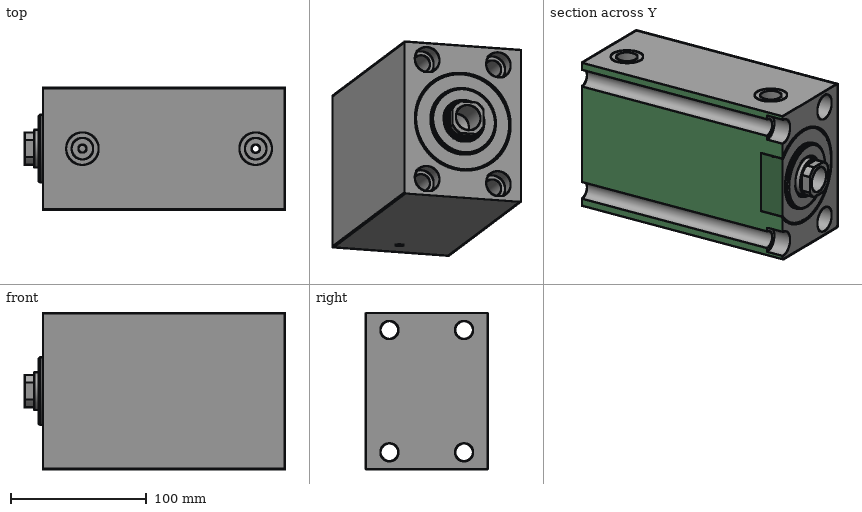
import cadquery as cq
import math

OVERALL_LENGTH = 191.5

HOUSING_FRONT = 13.5
HOUSING_LENGTH = OVERALL_LENGTH - HOUSING_FRONT
HOUSING_WIDTH = 90.0
HOUSING_HEIGHT = 115.0
HOUSING_EDGE_CHAMFER = 0.5

BOLT_SPACING_Y = 55.0
BOLT_SPACING_Z = 90.0
BOLT_DIAMETER = 13.0
BOLT_HEAD_DIAMETER = 19.0
BOLT_HEAD_DEPTH = 14.0

FRONT_PORT_OFFSET = 29.1
PORT_SPACING = 127.5
FRONT_PORT_X = HOUSING_FRONT + FRONT_PORT_OFFSET
REAR_PORT_X = FRONT_PORT_X + PORT_SPACING
PORT_SEAT_DIAMETER = 24.0
PORT_SEAT_DEPTH = 0.2
PORT_DIAMETER = 15.9
PORT_DEPTH = 15.3
PORT_DRILL_DIAMETER = 6.0

GLAND_DIAMETER = 72.0
GLAND_DEPTH = 19.2
GLAND_SEAT_CHAMFER = 1.0
BOSS_DIAMETER = 50.0
BOSS_HEIGHT = 3.0
BOSS_CHAMFER = 1.1
WIPER_DIAMETER = 31.5
WIPER_DEPTH = 2.0

ROD_DIAMETER = 28.0
ROD_END = 57.5
ROD_CHAMFER = 0.48
TIP_LENGTH = 6.9
TIP_DIAMETER = ROD_DIAMETER - 2 * ROD_CHAMFER
TIP_ACROSS_FLATS = 24.0
SOCKET_DIAMETER = 19.0
SOCKET_DEPTH = 28.7
SOCKET_POINT_ANGLE = 118.0


def cylinder_x(diameter, start, end):
    """Cylinder on the X axis from X = start to X = end."""
    return cq.Workplane("YZ", origin=(start, 0, 0)).circle(diameter / 2).extrude(end - start)


def cone_x(start_diameter, end_diameter, start, length):
    """Cone or cone frustum on the X axis, opening at X = start."""
    cone = cq.Solid.makeCone(
        start_diameter / 2,
        end_diameter / 2,
        length,
        pnt=cq.Vector(start, 0, 0),
        dir=cq.Vector(1, 0, 0),
    )
    return cq.Workplane(cone)


def drill_down(x, diameter, depth):
    """Cylinder at the given X, running down from the top face."""
    top = cq.Workplane("XY", origin=(x, 0, HOUSING_HEIGHT / 2))
    return top.circle(diameter / 2).extrude(-depth)


def port(x, drill_depth):
    """Port cutter: shallow seat, wide bore and a narrow drilling."""
    seat = drill_down(x, PORT_SEAT_DIAMETER, PORT_SEAT_DEPTH)
    bore = drill_down(x, PORT_DIAMETER, PORT_DEPTH)
    drilling = drill_down(x, PORT_DRILL_DIAMETER, drill_depth)
    return seat.union(bore).union(drilling)


def make_housing():
    block = cq.Workplane("XY").box(HOUSING_LENGTH, HOUSING_WIDTH, HOUSING_HEIGHT)
    block = block.translate((HOUSING_FRONT + HOUSING_LENGTH / 2, 0, 0))
    block = block.edges("|X").chamfer(HOUSING_EDGE_CHAMFER)

    block = (
        block.faces("<X")
        .workplane(centerOption="CenterOfBoundBox")
        .rarray(BOLT_SPACING_Y, BOLT_SPACING_Z, 2, 2)
        .cboreHole(BOLT_DIAMETER, BOLT_HEAD_DIAMETER, BOLT_HEAD_DEPTH)
    )

    block = block.cut(port(FRONT_PORT_X, HOUSING_HEIGHT / 2))
    block = block.cut(port(REAR_PORT_X, HOUSING_HEIGHT))

    mouth_diameter = GLAND_DIAMETER + 2 * GLAND_SEAT_CHAMFER
    block = block.cut(cone_x(mouth_diameter, GLAND_DIAMETER, HOUSING_FRONT, GLAND_SEAT_CHAMFER))
    block = block.cut(cylinder_x(GLAND_DIAMETER, HOUSING_FRONT, HOUSING_FRONT + GLAND_DEPTH))
    return block.cut(cylinder_x(ROD_DIAMETER, HOUSING_FRONT, ROD_END))


def make_gland():
    boss_front = HOUSING_FRONT - BOSS_HEIGHT
    gland_back = HOUSING_FRONT + GLAND_DEPTH
    boss = cylinder_x(BOSS_DIAMETER, boss_front, HOUSING_FRONT)
    boss = boss.faces("<X").chamfer(BOSS_CHAMFER)
    gland = cylinder_x(GLAND_DIAMETER, HOUSING_FRONT, gland_back).union(boss)

    gland = gland.cut(cylinder_x(ROD_DIAMETER, boss_front, gland_back))
    return gland.cut(cylinder_x(WIPER_DIAMETER, boss_front, boss_front + WIPER_DEPTH))


def make_rod():
    shaft = cylinder_x(ROD_DIAMETER, TIP_LENGTH, ROD_END)
    shaft = shaft.faces("<X").chamfer(ROD_CHAMFER)

    flats = cq.Workplane("YZ").rect(TIP_ACROSS_FLATS, TIP_ACROSS_FLATS).extrude(TIP_LENGTH)
    tip = cylinder_x(TIP_DIAMETER, 0, TIP_LENGTH).intersect(flats)

    point_length = SOCKET_DIAMETER / 2 / math.tan(math.radians(SOCKET_POINT_ANGLE / 2))
    socket = cylinder_x(SOCKET_DIAMETER, 0, SOCKET_DEPTH)
    point = cone_x(SOCKET_DIAMETER, 0, SOCKET_DEPTH, point_length)
    return shaft.union(tip).cut(socket).cut(point)


housing = make_housing()
gland = make_gland()
rod = make_rod()

result = cq.Compound.makeCompound([housing.val(), gland.val(), rod.val()])